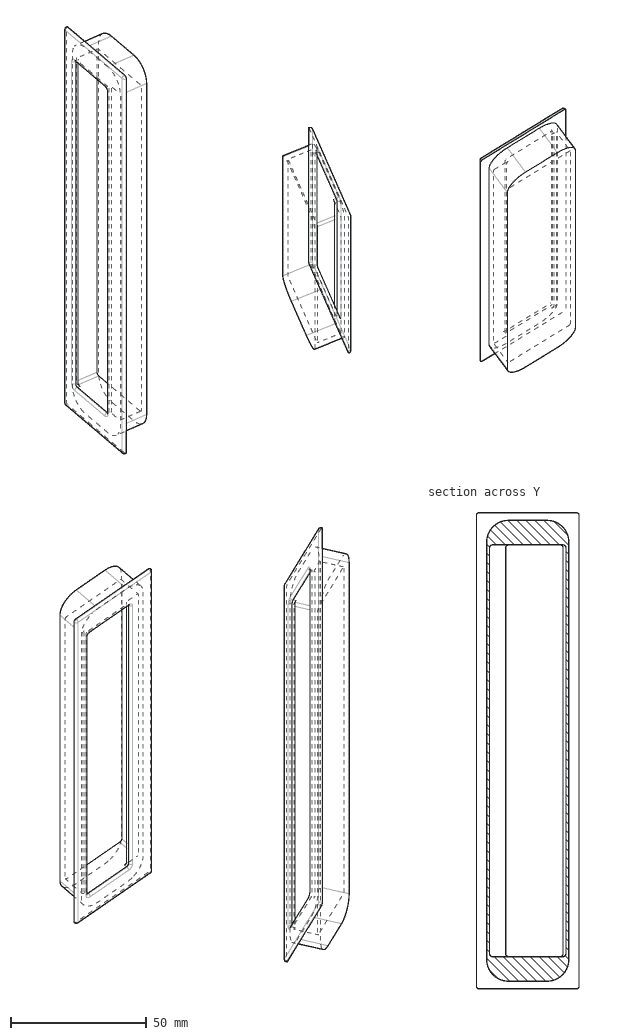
import cadquery as cq

plate_width = 38.0
plate_height = 176.0
plate_thickness = 1.2
plate_corner_radius = 1.0
plate_round = 0.97

overall_depth = 13.2
box_width = 30.5
box_height = 170.4
box_corner_radius = 8.1

opening_width = 21.1
opening_height = 152.0
opening_corner_radius = 1.0
opening_round = 0.97
opening_offset = -2.5

cavity_width = 28.2
cavity_corner_radius = 1.0
back_wall_thickness = 1.5
front_wall_thickness = 1.0


def upright_block(width, height, corner_radius, front, back, center_x=0):
    """Block with its four Y-direction edges rounded, from Y = front to Y = back."""
    return (
        cq.Workplane("XZ", origin=(center_x, front, 0))
        .rect(width, height)
        .extrude(front - back)
        .edges("|Y")
        .fillet(corner_radius)
    )


def opening_block(front, back):
    """Straight-walled space of the finger opening between two Y positions."""
    return upright_block(
        opening_width, opening_height, opening_corner_radius, front, back, opening_offset
    )


def make_plate():
    """Thin plate with a rounded front rim and a rounded rim around the finger opening."""
    plate = upright_block(plate_width, plate_height, plate_corner_radius, 0, plate_thickness)
    plate = plate.faces("<Y").edges().fillet(plate_round)
    plate = plate.cut(opening_block(0, plate_thickness))
    opening_rim = plate.faces("<Y").wires(cq.selectors.LengthNthSelector(0))
    return opening_rim.fillet(opening_round)


def make_box():
    """Closed box whose front wall continues the opening into a wider cavity."""
    box = upright_block(box_width, box_height, box_corner_radius, plate_thickness, overall_depth)
    cavity_front = plate_thickness + front_wall_thickness
    cavity_back = overall_depth - back_wall_thickness
    cavity = upright_block(
        cavity_width, opening_height, cavity_corner_radius, cavity_front, cavity_back
    )
    return box.cut(opening_block(plate_thickness, cavity_front)).cut(cavity)


plate = make_plate()
box = make_box()

result = cq.Compound.makeCompound([plate.val(), box.val()])